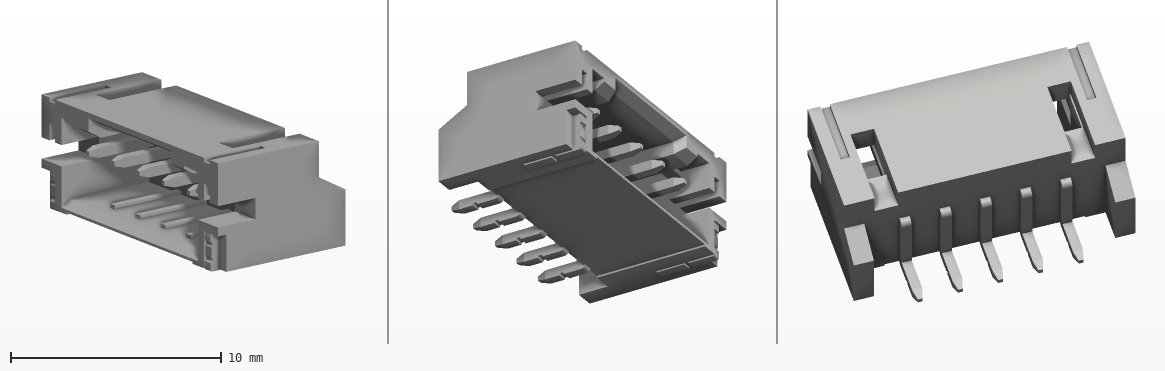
import cadquery as cq


WIDTH = 14.0
HEIGHT = 5.5
DEPTH = 6.0
WING_WIDTH = 1.0
WING_END = 7.6
WING_LOW = 2.8
WING_HIGH = 3.7
RELIEF_WIDTH = 10.0
RELIEF_HEIGHT = 0.1

CAVITY_WIDTH = 10.8
CAVITY_FLOOR = 0.57
CAVITY_CEILING = 4.22
KEYWAY_WIDTH = 6.0
KEYWAY_CEILING = 4.89
CAVITY_DEPTH = 4.6
LEAD_IN_DEPTH = 0.55
LEAD_IN_RISE = 0.33
KEYWAY_FLARE = 0.27
UNDERCUT_TOP = 2.6
UNDERCUT_BOTTOM = 2.3
UNDERCUT_DEPTH = 0.6
RIB_WIDTH = 0.38
RIB_HEIGHT = 0.18
RIB_START = 1.25

SLOT_DEPTH = 2.22
SLOT_BOTTOM = 2.3
SLOT_TOP = 3.365
POCKET_INNER_X = 4.31
POCKET_OUTER_X = 5.48
POCKET_FRONT = 2.02
POCKET_FLOOR = 4.5
SHAFT_BACK = 4.09
LATCH_NOTCH_TOP = 4.71
LATCH_BEVEL_TOP = 4.44
LATCH_BEVEL_LENGTH = 0.45

TAB_X = 6.13
TAB_WIDTH = 0.46
TAB_TOP = 1.85
TAB_FRONT = 0.03
TAB_MIDDLE_FRONT = 0.09
TAB_NOTCH_BACK = 0.16
TAB_SHOULDER = 1.66
HIGH_NOTCH_TOP = 1.39
HIGH_NOTCH_BOTTOM = 1.14
LOW_NOTCH_TOP = 0.62
LOW_NOTCH_BOTTOM = 0.37
HEEL_RADIUS = 0.14
TAB_RECESS_DEPTH = 0.5
FOOT_END = 3.24
FOOT_NOTCH_Y = 1.585
GROOVE_LENGTH = 3.32
GROOVE_DEPTH = 0.2
FRONT_GROOVE_TOP = 4.21

PIN_COUNT = 5
PITCH = 2.0
PIN_SIZE = 0.5
PIN_TIP_SIZE = 0.23
PIN_TAPER = 0.5
PIN_START = 0.5
PIN_Z = 3.2
LEG_BACK = 6.38
BEND_RADIUS = 0.28
TAIL_END = 8.6
SEAT = -0.08
TAIL_NOTCH_Y = 7.215
NOTCH_RADIUS = 0.12

SIDES = (-1, 1)
PIN_XS = [PITCH * (i - (PIN_COUNT - 1) / 2) for i in range(PIN_COUNT)]


def block(x_range, y_range, z_range):
    """Axis-aligned box between the given limits, in any order along x."""
    x0, x1 = sorted(x_range)
    y0, y1 = y_range
    z0, z1 = z_range
    return cq.Workplane("XY").box(x1 - x0, y1 - y0, z1 - z0, centered=False).translate((x0, y0, z0))


def yz_prism(points, x_center, width):
    """Prism with a (y, z) outline, centred on x_center."""
    prism = cq.Workplane("YZ").polyline(points).close().extrude(width / 2, both=True)
    return prism.translate((x_center, 0, 0))


def side_span(side, inner, outer):
    """Limits along x, measured outwards from the middle on the given side."""
    return (side * inner, side * outer)


def housing_body():
    """Block with two rear wings and a shallow relief under its middle."""
    body = block((-WIDTH / 2, WIDTH / 2), (0, DEPTH), (0, HEIGHT))
    wing_outline = [(0, 0), (WING_END, 0), (WING_END, WING_LOW), (DEPTH, WING_HIGH), (0, WING_HIGH)]
    for side in SIDES:
        body = body.union(yz_prism(wing_outline, side * (WIDTH - WING_WIDTH) / 2, WING_WIDTH))
    relief = block((-RELIEF_WIDTH / 2, RELIEF_WIDTH / 2), (0, DEPTH), (0, RELIEF_HEIGHT))
    return body.cut(relief)


def cavity_outline(y, growth=0.0, flare=0.0):
    """T-shaped section at depth y: growth moves floor and ceilings out, flare widens the keyway."""
    half = CAVITY_WIDTH / 2
    key_half = KEYWAY_WIDTH / 2 + flare
    floor = CAVITY_FLOOR - growth
    ceiling = CAVITY_CEILING + growth
    key_ceiling = KEYWAY_CEILING + growth
    corners = [
        (-half, floor),
        (half, floor),
        (half, ceiling),
        (key_half, ceiling),
        (key_half, key_ceiling),
        (-key_half, key_ceiling),
        (-key_half, ceiling),
        (-half, ceiling),
    ]
    return cq.Wire.makePolygon([cq.Vector(x, y, z) for x, z in corners], close=True)


def cavity():
    """Keyed cavity with a flared mouth and a deeper lower rear part."""
    rim = cavity_outline(0, LEAD_IN_RISE, KEYWAY_FLARE)
    throat = cavity_outline(LEAD_IN_DEPTH)
    mouth = cq.Solid.makeLoft([rim, throat], True)
    run = cq.Vector(0, CAVITY_DEPTH - LEAD_IN_DEPTH, 0)
    main = cq.Solid.extrudeLinear(throat, [], run)
    undercut_back = CAVITY_DEPTH + UNDERCUT_DEPTH
    undercut = yz_prism(
        [
            (CAVITY_DEPTH, CAVITY_FLOOR),
            (undercut_back, CAVITY_FLOOR),
            (undercut_back, UNDERCUT_BOTTOM),
            (CAVITY_DEPTH, UNDERCUT_TOP),
        ],
        0,
        CAVITY_WIDTH,
    )
    return cq.Workplane(mouth).union(cq.Workplane(main)).union(undercut)


def floor_rib(x):
    """Low rib along the cavity floor, between two contacts."""
    rib_span = (x - RIB_WIDTH / 2, x + RIB_WIDTH / 2)
    return block(rib_span, (RIB_START, DEPTH), (RELIEF_HEIGHT, CAVITY_FLOOR + RIB_HEIGHT))


def roof_pocket(side):
    """Rear roof pocket, the shaft through its floor into the cavity, and the latch notch in front."""
    pocket_span = side_span(side, POCKET_INNER_X, POCKET_OUTER_X)
    shaft_span = side_span(side, POCKET_INNER_X, CAVITY_WIDTH / 2)
    pocket = block(pocket_span, (POCKET_FRONT, DEPTH), (POCKET_FLOOR, HEIGHT))
    shaft = block(shaft_span, (POCKET_FRONT, SHAFT_BACK), (CAVITY_CEILING, POCKET_FLOOR))
    notch_back = POCKET_FRONT - LATCH_BEVEL_LENGTH
    latch_notch = yz_prism(
        [
            (0, CAVITY_CEILING),
            (POCKET_FRONT, CAVITY_CEILING),
            (notch_back, LATCH_BEVEL_TOP),
            (notch_back, LATCH_NOTCH_TOP),
            (0, LATCH_NOTCH_TOP),
        ],
        sum(shaft_span) / 2,
        CAVITY_WIDTH / 2 - POCKET_INNER_X,
    )
    return pocket.union(shaft).union(latch_notch)


def side_openings(side):
    """Side slot, tab recess and the two grooves in line with the solder tab."""
    outer = WIDTH / 2
    tab_inner = TAB_X - TAB_WIDTH / 2
    tab_span = side_span(side, tab_inner, TAB_X + TAB_WIDTH / 2)
    slot = block(side_span(side, CAVITY_WIDTH / 2, outer), (0, SLOT_DEPTH), (SLOT_BOTTOM, SLOT_TOP))
    recess = block(side_span(side, tab_inner, outer), (0, TAB_RECESS_DEPTH), (0, TAB_TOP))
    top_groove = block(tab_span, (0, GROOVE_LENGTH), (HEIGHT - GROOVE_DEPTH, HEIGHT))
    front_groove = block(tab_span, (0, GROOVE_LENGTH), (SLOT_TOP, FRONT_GROOVE_TOP))
    return slot.union(recess).union(top_groove).union(front_groove)


def seat_notch(y, x_center, width):
    """Round-topped groove across the underside of a solder foot."""
    rod = cq.Workplane("YZ").center(y, SEAT).circle(NOTCH_RADIUS).extrude(width / 2, both=True)
    return rod.translate((x_center, 0, 0))


def solder_tab(side):
    """L-shaped tab: ribbed front plate with a foot running back under the housing."""
    x = side * TAB_X
    foot_top = SEAT + PIN_SIZE
    low_middle = (LOW_NOTCH_BOTTOM + LOW_NOTCH_TOP) / 2
    high_middle = (HIGH_NOTCH_BOTTOM + HIGH_NOTCH_TOP) / 2
    tab = (
        cq.Workplane("YZ")
        .moveTo(TAB_FRONT, SEAT)
        .lineTo(FOOT_END, SEAT)
        .lineTo(FOOT_END, foot_top)
        .lineTo(TAB_RECESS_DEPTH, foot_top)
        .lineTo(TAB_RECESS_DEPTH, TAB_TOP)
        .lineTo(TAB_MIDDLE_FRONT, TAB_TOP)
        .lineTo(TAB_FRONT, TAB_SHOULDER)
        .lineTo(TAB_FRONT, HIGH_NOTCH_TOP)
        .threePointArc((TAB_NOTCH_BACK, high_middle), (TAB_MIDDLE_FRONT, HIGH_NOTCH_BOTTOM))
        .lineTo(TAB_MIDDLE_FRONT, LOW_NOTCH_TOP)
        .threePointArc((TAB_NOTCH_BACK, low_middle), (TAB_FRONT, LOW_NOTCH_BOTTOM))
        .close()
        .extrude(TAB_WIDTH / 2, both=True)
        .edges("|X and <Y and <Z")
        .fillet(HEEL_RADIUS)
        .translate((x, 0, 0))
    )
    return tab.cut(seat_notch(FOOT_NOTCH_Y, x, TAB_WIDTH))


def tapered_tip(x, y_base, y_tip, z):
    """Square pyramid frustum closing a contact end."""

    def square(y, size):
        half = size / 2
        corners = [(-half, -half), (half, -half), (half, half), (-half, half)]
        return cq.Wire.makePolygon([cq.Vector(x + dx, y, z + dz) for dx, dz in corners], close=True)

    return cq.Workplane(cq.Solid.makeLoft([square(y_base, PIN_SIZE), square(y_tip, PIN_TIP_SIZE)], True))


def contact(x):
    """Z-bent square contact: mating pin, vertical leg behind the housing and solder tail."""
    half = PIN_SIZE / 2
    x_span = (x - half, x + half)
    tail_z = SEAT + half
    pin_base = PIN_START + PIN_TAPER
    tail_base = TAIL_END - PIN_TAPER
    leg_front = LEG_BACK - PIN_SIZE
    leg = block(x_span, (leg_front, LEG_BACK), (SEAT, PIN_Z + half))
    leg = leg.edges("|X and >Y and >Z").fillet(BEND_RADIUS)
    leg = leg.edges("|X and <Y and <Z").fillet(BEND_RADIUS)
    pin = block(x_span, (pin_base, leg_front + half), (PIN_Z - half, PIN_Z + half))
    tail = block(x_span, (LEG_BACK - half, tail_base), (SEAT, SEAT + PIN_SIZE))
    tail = tail.cut(seat_notch(TAIL_NOTCH_Y, x, PIN_SIZE))
    return (
        pin.union(leg)
        .union(tail)
        .union(tapered_tip(x, pin_base, PIN_START, PIN_Z))
        .union(tapered_tip(x, tail_base, TAIL_END, tail_z))
    )


result = housing_body().cut(cavity())
for left_x, right_x in zip(PIN_XS, PIN_XS[1:]):
    result = result.union(floor_rib((left_x + right_x) / 2))
for side in SIDES:
    result = result.cut(roof_pocket(side)).cut(side_openings(side)).union(solder_tab(side))
for pin_x in PIN_XS:
    result = result.union(contact(pin_x))